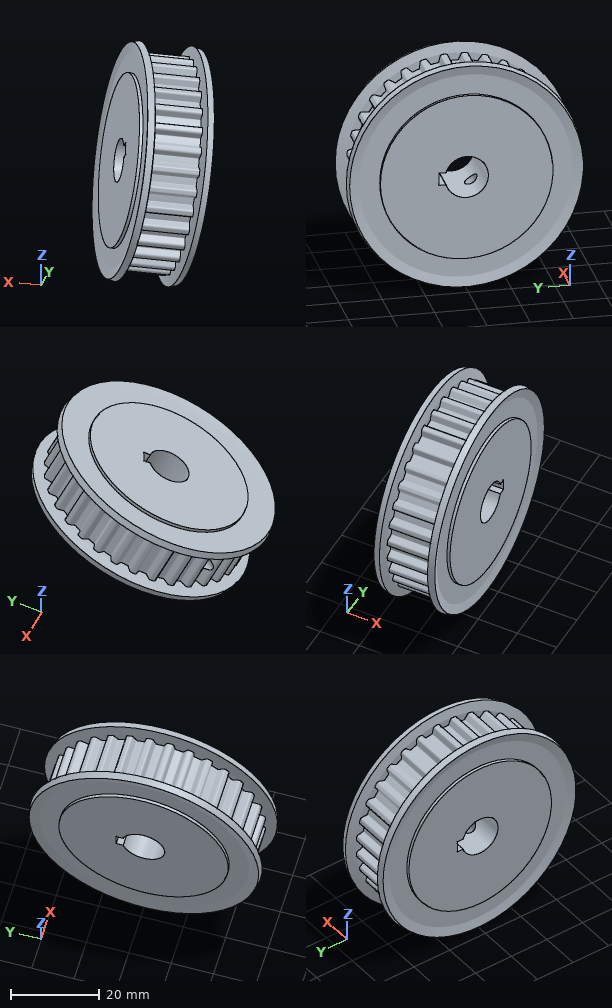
import cadquery as cq
import math


width = 16.0
flange_diameter = 55.0
hub_diameter = 40.0

tooth_count = 32
tooth_face_width = 11.0
tip_diameter = 49.95
groove_depth = 1.75
groove_bottom_width = 1.8
groove_flank_angle = 25.0
tip_fillet = 0.6
root_fillet = 0.2

flange_thickness = 1.7
dish_angle = 14.0

bore_diameter = 10.0
keyway_width = 2.95
keyway_reach = 6.45
screw_hole_diameter = 3.3
screw_groove_number = 5

tip_radius = tip_diameter / 2
root_radius = tip_radius - groove_depth
flange_radius = flange_diameter / 2
tooth_pitch_angle = 360.0 / tooth_count
half_face = tooth_face_width / 2


def disc(diameter, length):
    """Cylinder on the X axis, centred on the origin."""
    return cq.Workplane("YZ").circle(diameter / 2).extrude(length / 2, both=True)


def tooth_groove():
    """Groove pointing along +Y: bottom concentric with the axis, flanks running out past the tooth tips."""
    cut_radius = tip_radius + groove_depth
    bottom_half = groove_bottom_width / 2
    bottom_y = math.sqrt(root_radius**2 - bottom_half**2)
    top_half = bottom_half + (cut_radius - bottom_y) * math.tan(math.radians(groove_flank_angle))
    outline = (
        cq.Workplane("YZ")
        .moveTo(bottom_y, -bottom_half)
        .lineTo(cut_radius, -top_half)
        .lineTo(cut_radius, top_half)
        .lineTo(bottom_y, bottom_half)
        .threePointArc((root_radius, 0), (bottom_y, -bottom_half))
        .close()
    )
    return outline.extrude(half_face, both=True)


def edges_near_radius(body, radius):
    """Edges parallel to the axis that lie at the given distance from it."""
    tolerance = groove_depth / 4

    def is_near(edge):
        centre = edge.Center()
        return abs(math.hypot(centre.y, centre.z) - radius) < tolerance

    return body.edges("|X").filter(is_near)


def toothed_rim():
    """Cylinder with grooves all round and rounded tooth tips and roots."""
    rim = disc(tip_diameter, tooth_face_width)
    groove = tooth_groove()
    for index in range(tooth_count):
        rim = rim.cut(groove.rotate((0, 0, 0), (1, 0, 0), index * tooth_pitch_angle))
    rim = edges_near_radius(rim, tip_radius).fillet(tip_fillet)
    return edges_near_radius(rim, root_radius).fillet(root_fillet)


def flange():
    """Dished flange on the +X side, revolved about the axis."""
    slope = math.radians(dish_angle)
    inner_face = half_face
    outer_face = half_face + flange_thickness
    bend_radius = tip_radius
    outer_bend_radius = bend_radius - flange_thickness * math.tan(slope / 2)
    rim_x = inner_face + (flange_radius - bend_radius) * math.tan(slope)
    outline = [
        (inner_face, 0),
        (inner_face, bend_radius),
        (rim_x, flange_radius),
        (rim_x + flange_thickness * math.cos(slope), flange_radius - flange_thickness * math.sin(slope)),
        (outer_face, outer_bend_radius),
        (outer_face, 0),
    ]
    return cq.Workplane("XY").polyline(outline).close().revolve(360, (0, 0, 0), (1, 0, 0))


def keyway():
    """Slot through the full width on the +Y side of the bore."""
    return cq.Workplane("XY").box(width, keyway_reach, keyway_width, centered=(True, False, True))


def screw_hole():
    """Radial hole from the bore out through the bottom of one groove."""
    angle = screw_groove_number * tooth_pitch_angle
    hole = cq.Workplane("XZ").circle(screw_hole_diameter / 2).extrude(flange_radius)
    return hole.rotate((0, 0, 0), (1, 0, 0), angle)


right_flange = flange()
left_flange = right_flange.mirror("YZ")

result = toothed_rim().union(right_flange).union(left_flange).union(disc(hub_diameter, width))
result = result.cut(disc(bore_diameter, width)).cut(keyway()).cut(screw_hole())